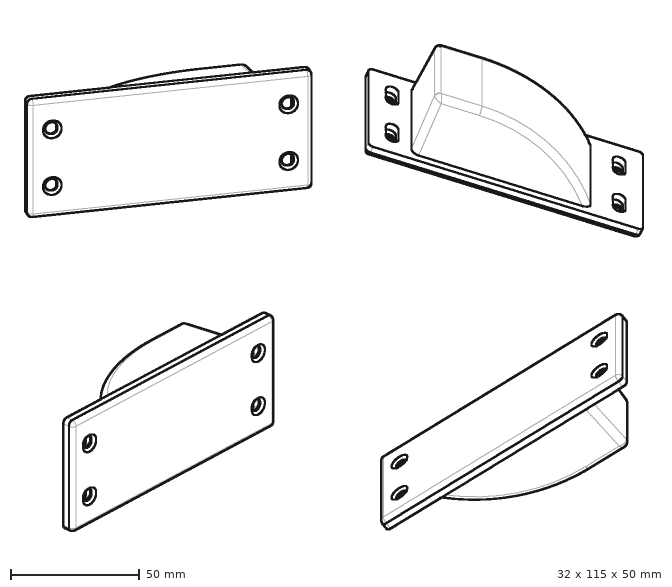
import cadquery as cq
import math

PLATE_LENGTH = 115.0
PLATE_HEIGHT = 50.0
SLOTTED_PLATE_THICKNESS = 3.0
BACK_PLATE_THICKNESS = 2.0
CORNER_RADIUS = 2.0
BACK_EDGE_RADIUS = 1.99

SLOT_WIDTH = 5.3
SLOT_LENGTH = 11.0
SLOT_Y = 47.5
HOLE_DIAMETER = 5.0
COUNTERSINK_DIAMETER = 7.5
COUNTERSINK_ANGLE = 90.0
HOLE_Y = 47.8
FIXING_Z = 12.0

COVER_DEPTH = 27.0
COVER_BASE_HEIGHT = 43.0
COVER_DRAFT = 8.0
COVER_END_Y = 39.5
COVER_TOE_Y = -35.5
CREST_LENGTH = 19.0
SIDE_RADIUS = 3.0
CREST_END_RADIUS = 2.0

JOINT_X = -BACK_PLATE_THICKNESS
FRONT_X = JOINT_X - SLOTTED_PLATE_THICKNESS
CREST_X = FRONT_X - COVER_DEPTH


def four_fixings(y_offset):
    return [(y, z) for y in (-y_offset, y_offset) for z in (-FIXING_Z, FIXING_Z)]


def plate_blank(front_x, thickness):
    return (
        cq.Workplane("YZ", origin=(front_x, 0, 0))
        .rect(PLATE_LENGTH, PLATE_HEIGHT)
        .extrude(thickness)
        .edges("|X")
        .fillet(CORNER_RADIUS)
    )


def make_slotted_plate():
    slots = (
        cq.Workplane("YZ", origin=(FRONT_X, 0, 0))
        .pushPoints(four_fixings(SLOT_Y))
        .slot2D(SLOT_LENGTH, SLOT_WIDTH, 90)
        .extrude(SLOTTED_PLATE_THICKNESS)
    )
    return plate_blank(FRONT_X, SLOTTED_PLATE_THICKNESS).cut(slots)


def make_back_plate():
    blank = plate_blank(JOINT_X, BACK_PLATE_THICKNESS).faces(">X").edges().fillet(BACK_EDGE_RADIUS)
    return (
        blank.faces(">X")
        .workplane(origin=(0, 0, 0))
        .pushPoints(four_fixings(HOLE_Y))
        .cskHole(HOLE_DIAMETER, COUNTERSINK_DIAMETER, COUNTERSINK_ANGLE)
    )


def cover_profile():
    """Plan outline: flat crest, then an arc tangent to it that ends at the toe."""
    arc_start_y = COVER_END_Y - CREST_LENGTH
    arc_run = arc_start_y - COVER_TOE_Y
    arc_radius = (arc_run**2 + COVER_DEPTH**2) / (2 * COVER_DEPTH)
    half_sweep = math.asin(arc_run / arc_radius) / 2
    arc_middle = (
        CREST_X + arc_radius * (1 - math.cos(half_sweep)),
        arc_start_y - arc_radius * math.sin(half_sweep),
    )
    return (
        cq.Workplane("XY", origin=(0, 0, -COVER_BASE_HEIGHT / 2))
        .moveTo(FRONT_X, COVER_END_Y)
        .lineTo(CREST_X, COVER_END_Y)
        .lineTo(CREST_X, arc_start_y)
        .threePointArc(arc_middle, (FRONT_X, COVER_TOE_Y))
        .close()
    )


def drafted_envelope():
    """Trapezium bar along Y that narrows in Z from the plate to the crest."""
    base_half = COVER_BASE_HEIGHT / 2
    crest_half = base_half - COVER_DEPTH * math.tan(math.radians(COVER_DRAFT))
    return (
        cq.Workplane("XZ", origin=(0, COVER_END_Y, 0))
        .polyline(
            [
                (FRONT_X, -base_half),
                (FRONT_X, base_half),
                (CREST_X, crest_half),
                (CREST_X, -crest_half),
            ]
        )
        .close()
        .extrude(COVER_END_Y - COVER_TOE_Y)
    )


def make_cover():
    body = cover_profile().extrude(COVER_BASE_HEIGHT).intersect(drafted_envelope())
    rounded = body.edges("not(>X or |Z)").fillet(SIDE_RADIUS)
    crest_end = cq.selectors.NearestToPointSelector((CREST_X, COVER_END_Y, 0))
    return rounded.edges(crest_end).fillet(CREST_END_RADIUS)


cover = make_cover()
slotted_plate = make_slotted_plate()
back_plate = make_back_plate()

result = cq.Compound.makeCompound([cover.val(), slotted_plate.val(), back_plate.val()])